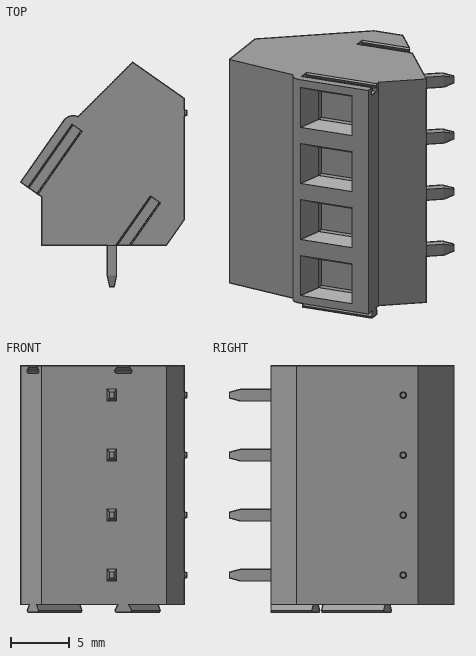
import cadquery as cq
import math


pole_count = 4
pole_pitch = 5.08
overall_height = 20.92
housing_height = 20.27

wire_face_angle = 55.0
overhang = 1.78
guard_length = 7.36
guard_radius = 1.0
guard_depth = 1.67

housing_width = 12.11
housing_depth = 15.52
peak_x = 7.72
notch_x = 3.05
right_wall_top_y = 12.45
chamfer_x = 1.53
tip_y = 5.35
screw_face_angle = 45.0

opening_start = 1.53
opening_length = 4.75
opening_height = 3.62
funnel_depth = 1.1
funnel_side_inset = 0.52
funnel_top_inset = 1.17
well_depth = 0.56

rail_height = overall_height - housing_height
rail_lip = 0.17
rail_root_width = 0.75
rail_width = 1.17
rail_foot_width = 1.0
slot_depth = 0.67
slot_lead_in = 0.15
slot_lip_depth = 0.4
slot_corner_height = 0.13
slot_mouth_width = 1.05
slot_neck_width = 0.82
slot_width = 1.2
slot_floor_width = 0.96
end_clearance = 0.1
front_joint_inset = 1.28
front_joint_length = 6.53
rear_joint_x = 6.92
rear_joint_length = 4.75
joint_overrun = 1.05

pin_x = 5.96
pin_thickness = 0.8
pin_width = 1.0
pin_tip_length = 0.92
pin_length = 3.51
contact_y = 11.21
contact_length = 0.2
contact_base_diameter = 0.56
contact_end_diameter = 0.42
tip_scale = 0.5

tilt = math.radians(wire_face_angle)
up_face = cq.Vector(math.cos(tilt), math.sin(tilt), 0)
inward = cq.Vector(math.sin(tilt), -math.cos(tilt), 0)
wire_tip = cq.Vector(-overhang, tip_y, 0)


def pole_heights():
    """Pole centres, spaced evenly about the middle of the housing."""
    middle = (pole_count - 1) / 2
    return [housing_height / 2 + (i - middle) * pole_pitch for i in range(pole_count)]


def make_footprint(base_z, height):
    """Housing outline in plan, extruded up from base_z."""
    left_wall_top_y = tip_y - overhang / math.tan(tilt)
    notch_y = housing_depth - (peak_x - notch_x) * math.tan(math.radians(screw_face_angle))
    main = (
        cq.Workplane("XY", origin=(0, 0, base_z))
        .moveTo(0, 0)
        .lineTo(housing_width - chamfer_x, 0)
        .lineTo(housing_width, chamfer_x * math.tan(tilt))
        .lineTo(housing_width, right_wall_top_y)
        .lineTo(peak_x, housing_depth)
        .lineTo(notch_x, notch_y)
        .lineTo(-overhang, tip_y)
        .lineTo(0, left_wall_top_y)
        .close()
        .extrude(height)
    )
    guard_plane = cq.Plane(origin=(-overhang, tip_y, base_z), xDir=up_face, normal=(0, 0, 1))
    guard = (
        cq.Workplane(guard_plane)
        .lineTo(guard_length - guard_radius, 0)
        .radiusArc((guard_length, -guard_radius), guard_radius)
        .lineTo(guard_length, -guard_depth)
        .lineTo(0, -guard_depth)
        .close()
        .extrude(height)
    )
    return main.union(guard)


def make_wire_opening(center_z):
    """Funnel and well cut square to the wire face; the wall nearest the tip does not slope."""
    lower_edge = wire_tip + up_face * opening_start + cq.Vector(0, 0, center_z)
    well_length = opening_length - funnel_top_inset
    well_height = opening_height - 2 * funnel_side_inset
    mouth_center = lower_edge + up_face * (opening_length / 2)
    well_center = lower_edge + up_face * (well_length / 2) + inward * funnel_depth
    mouth_plane = cq.Plane(origin=mouth_center, xDir=up_face, normal=inward)
    well_plane = cq.Plane(origin=well_center, xDir=up_face, normal=inward)
    funnel = (
        cq.Workplane(mouth_plane)
        .rect(opening_length, opening_height)
        .workplane(offset=funnel_depth)
        .center(-funnel_top_inset / 2, 0)
        .rect(well_length, well_height)
        .loft(combine=True)
    )
    well = cq.Workplane(well_plane).rect(well_length, well_height).extrude(well_depth)
    return funnel.union(well)


def joint_prism(half_profile, start, base_z, length):
    """Extrude a symmetric profile of (half width, height) points up the wire face direction."""
    origin = start - up_face * joint_overrun + cq.Vector(0, 0, base_z)
    plane = cq.Plane(origin=origin, xDir=inward * -1, normal=up_face)
    mirrored = [(-x, z) for x, z in reversed(half_profile)]
    return cq.Workplane(plane).polyline(half_profile + mirrored).close().extrude(length + joint_overrun)


def make_rail(start, length):
    profile = [
        (rail_root_width / 2, 0),
        (rail_width / 2, rail_lip - rail_height),
        (rail_foot_width / 2, -rail_height),
    ]
    return joint_prism(profile, start, 0, length - end_clearance)


def make_slot(start, length):
    profile = [
        (slot_mouth_width / 2, 0),
        (slot_neck_width / 2, -slot_lead_in),
        (slot_width / 2, -slot_lip_depth),
        (slot_width / 2, slot_corner_height - slot_depth),
        (slot_floor_width / 2, -slot_depth),
    ]
    return joint_prism(profile, start, housing_height, length)


def make_solder_pin(center_z):
    """Rectangular pin standing on the board face, with a pyramid tip."""
    shank_length = pin_length - pin_tip_length
    board_plane = cq.Plane(origin=(pin_x, 0, center_z), xDir=(1, 0, 0), normal=(0, -1, 0))
    shank = cq.Workplane(board_plane).rect(pin_thickness, pin_width).extrude(shank_length)
    tip = (
        cq.Workplane(board_plane)
        .workplane(offset=shank_length)
        .rect(pin_thickness, pin_width)
        .workplane(offset=pin_tip_length)
        .rect(pin_thickness * tip_scale, pin_width * tip_scale)
        .loft(combine=True)
    )
    return shank.union(tip)


def make_contact_stub(center_z):
    """Short round stub on the right wall, tapering outwards."""
    wall_plane = cq.Plane(origin=(housing_width, contact_y, center_z), xDir=(0, 1, 0), normal=(1, 0, 0))
    return (
        cq.Workplane(wall_plane)
        .circle(contact_base_diameter / 2)
        .workplane(offset=contact_length)
        .circle(contact_end_diameter / 2)
        .loft(combine=True)
    )


joints = [
    (wire_tip + inward * front_joint_inset, front_joint_length),
    (cq.Vector(rear_joint_x, 0, 0), rear_joint_length),
]

result = make_footprint(0, housing_height)
rail_limits = make_footprint(-rail_height, rail_height)

for joint_start, joint_length in joints:
    result = result.cut(make_slot(joint_start, joint_length))
    result = result.union(make_rail(joint_start, joint_length).intersect(rail_limits))

for pole_z in pole_heights():
    result = result.cut(make_wire_opening(pole_z))
    result = result.union(make_solder_pin(pole_z))
    result = result.union(make_contact_stub(pole_z))